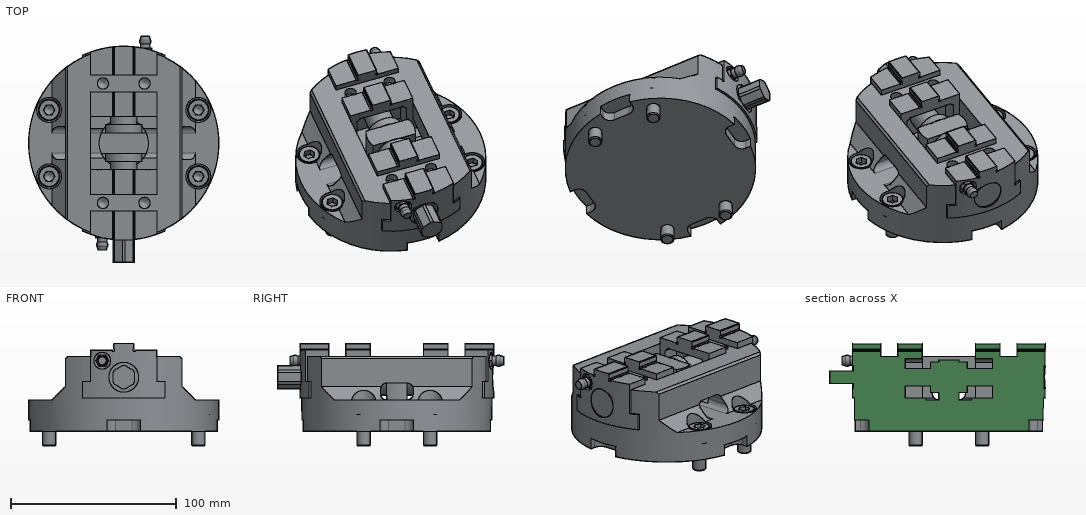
import cadquery as cq
import math

body_radius = 57.4
flange_top = 19.0
block_half_width = 35.2
slope_top = 27.0
slope_run = slope_top - flange_top
body_top = 45.1
block_chamfer = 1.4

key_half_width = 10.1
key_corner_radius = 5.0
key_height = 6.7
key_depth = 9.1

jaw_radius = 58.5
jaw_half_width = 20.0
jaw_foot_half_width = 25.0
guide_floor = 20.2
jaw_foot_top = 30.0
jaw_inner = 16.0
jaw_top = 48.9
saddle_inner = 31.0
saddle_outer = 41.0
rail_half_width = 6.1
rail_top = 53.0
rail_chamfer = 0.4
relief_size = 1.2
relief_centre_x = 6.3

pocket_half_width = 16.0
pocket_top = 43.6
pocket_depth = 10.2
pocket_chamfer = 2.2

saddle_hole_x = 12.5
saddle_hole_y = (saddle_inner + saddle_outer) / 2
saddle_hole_diameter = 6.8
saddle_hole_depth = 5.0
drill_slope = math.tan(math.radians(30))

cross_half_width = 10.0
cross_top = 29.0
cross_corner_radius = 4.0

spindle_z = 32.6
spindle_diameter = 16.0
collar_diameter = 22.0
collar_end = 11.2
holder_diameter = 29.7
holder_half_thickness = 6.1
holder_top = 43.1
hex_flats = 13.0
hex_round_diameter = 14.0
hex_end = 71.8
hex_start = 54.0
recess_diameter = 18.0
recess_floor = 57.5

nipple_x = 13.0
nipple_z = 42.5
nipple_seat_diameter = 10.1
nipple_seat = 54.0
nipple_tip = 64.5
nipple_base_flats = 7.0
nipple_base_height = 3.3
nipple_stem_radius = 3.0
nipple_neck_radius = 2.9
nipple_neck = 5.7
nipple_bulge_radius = 3.4
nipple_bulge = 7.2
nipple_head_radius = 3.3
nipple_head = 8.2
nipple_tip_radius = 2.5

screw_x = 45.0
screw_y = 20.0
counterbore_diameter = 15.0
counterbore_floor = 10.1
head_diameter = 13.0
head_face_diameter = 12.0
head_top = 18.7
socket_flats = 6.0
socket_depth = 4.1
shank_diameter = 8.0
shank_tip_diameter = 6.7
shank_end = -9.0
shank_chamfer_height = 0.7

axis_start = (0, 0, 0)
z_axis = (0, 0, 1)


def block(half_x, y_from, y_to, z_from, z_to):
    """Box centred on X = 0."""
    return (
        cq.Workplane("XY")
        .box(2 * half_x, y_to - y_from, z_to - z_from, centered=(True, False, False))
        .translate((0, y_from, z_from))
    )


def cylinder_z(x, y, diameter, z_from, z_to):
    return cq.Workplane("XY").workplane(offset=z_from).center(x, y).circle(diameter / 2).extrude(z_to - z_from)


def cylinder_y(x, z, diameter, y_from, y_to):
    """Cylinder along Y."""
    rod = cq.Workplane("XZ").center(x, z).circle(diameter / 2).extrude(y_from - y_to)
    return rod.translate((0, y_from, 0))


def hex_corners(flats):
    """Distance across the corners of a hexagon."""
    return flats / math.cos(math.radians(30))


def half_turn(shape):
    return shape.rotate(axis_start, z_axis, 180)


def make_body():
    round_base = cylinder_z(0, 0, 2 * body_radius, 0, body_top)
    shoulder_x = block_half_width + slope_run
    half_profile = [
        (body_radius, 0),
        (body_radius, flange_top),
        (shoulder_x, flange_top),
        (block_half_width, slope_top),
        (block_half_width, body_top - block_chamfer),
        (block_half_width - block_chamfer, body_top),
    ]
    mirrored = [(-x, z) for x, z in reversed(half_profile)]
    envelope = cq.Workplane("XZ").polyline(half_profile + mirrored).close().extrude(body_radius, both=True)
    return round_base.intersect(envelope)


def make_key_slots():
    slot = block(key_half_width, -body_radius, key_depth - body_radius, 0, key_height)
    slot = slot.faces(">Y").edges("|Z").fillet(key_corner_radius)
    slots = slot
    for quarter in (90, 180, 270):
        slots = slots.union(slot.rotate(axis_start, z_axis, quarter))
    return slots


def make_jaws():
    jaw_disc = cylinder_z(0, 0, 2 * jaw_radius, guide_floor, rail_top)
    jaws = block(jaw_foot_half_width, -jaw_radius, jaw_radius, guide_floor, jaw_foot_top)
    jaws = jaws.union(block(jaw_half_width, -jaw_radius, jaw_radius, guide_floor, jaw_top))
    rail = block(rail_half_width, -jaw_radius, jaw_radius, body_top, rail_top)
    jaws = jaws.union(rail.faces(">Z").edges("|Y").chamfer(rail_chamfer))
    for side in (-1, 1):
        relief = block(relief_size / 2, -jaw_radius, jaw_radius, -relief_size / 2, relief_size / 2)
        jaws = jaws.cut(relief.translate((side * relief_centre_x, 0, jaw_top)))
        low, high = sorted((side * saddle_inner, side * saddle_outer))
        jaws = jaws.cut(block(jaw_half_width, low, high, body_top, rail_top))
    return jaws.intersect(jaw_disc)


def make_window():
    """Open stretch of the T-shaped guide between the jaws, with the jaw pockets and holder seat."""
    window = block(jaw_half_width, -jaw_inner, jaw_inner, guide_floor, rail_top)
    window = window.union(block(jaw_foot_half_width, -jaw_inner, jaw_inner, guide_floor, jaw_foot_top))
    pocket_end = jaw_inner + pocket_depth
    pockets = block(pocket_half_width, -pocket_end, pocket_end, guide_floor, pocket_top)
    pockets = pockets.faces(">Z").edges("|Y").chamfer(pocket_chamfer)
    holder_seat = cylinder_z(0, 0, holder_diameter, flange_top, guide_floor)
    return window.union(pockets).union(holder_seat)


def make_cross_slot():
    slot = (
        cq.Workplane("XY")
        .box(2 * body_radius, 2 * cross_half_width, cross_top - flange_top, centered=(True, True, False))
        .translate((0, 0, flange_top))
    )
    return slot.edges("|X").fillet(cross_corner_radius)


def make_saddle_hole(x, y):
    radius = saddle_hole_diameter / 2
    straight_end = body_top - saddle_hole_depth
    outline = [
        (0, body_top),
        (radius, body_top),
        (radius, straight_end),
        (0, straight_end - radius * drill_slope),
    ]
    hole = cq.Workplane("XZ").polyline(outline).close().revolve(360, (0, 0), (0, 1))
    return hole.translate((x, y, 0))


def make_spindle():
    rod_end = jaw_inner + pocket_depth
    spindle = cylinder_y(0, spindle_z, spindle_diameter, -rod_end, rod_end)
    spindle = spindle.union(cylinder_y(0, spindle_z, collar_diameter, -collar_end, collar_end))
    holder = cylinder_z(0, 0, holder_diameter, flange_top, holder_top)
    holder = holder.intersect(
        block(holder_diameter, -holder_half_thickness, holder_half_thickness, flange_top, holder_top)
    )
    spindle = spindle.cut(
        block(holder_diameter, -holder_half_thickness, holder_half_thickness, flange_top, rail_top)
    )
    return spindle.union(holder)


def make_drive_hex():
    length = hex_end - hex_start
    bar = cq.Workplane("XZ").polygon(6, hex_corners(hex_flats)).extrude(length)
    bar = bar.rotate(axis_start, (0, 1, 0), 30).translate((0, -hex_start, spindle_z))
    return bar.intersect(cylinder_y(0, spindle_z, hex_round_diameter, -hex_end, -hex_start))


def make_nipple():
    """Grease nipple pointing along -Y: a turned stem and head on a hexagonal base."""
    length = nipple_tip - nipple_seat
    profile = (
        cq.Workplane("XY")
        .lineTo(nipple_stem_radius, 0)
        .lineTo(nipple_stem_radius, nipple_base_height)
        .lineTo(nipple_neck_radius, nipple_neck)
        .threePointArc((nipple_bulge_radius, nipple_bulge), (nipple_head_radius, nipple_head))
        .lineTo(nipple_tip_radius, length)
        .lineTo(0, length)
        .close()
    )
    turned = profile.revolve(360, (0, 0), (0, 1)).rotate(axis_start, z_axis, 180)
    base = cq.Workplane("XZ").polygon(6, hex_corners(nipple_base_flats)).extrude(nipple_base_height)
    return turned.union(base).translate((-nipple_x, -nipple_seat, nipple_z))


def make_screw():
    head_chamfer = (head_diameter - head_face_diameter) / 2
    shank_radius = shank_diameter / 2
    outline = [
        (0, shank_end),
        (shank_tip_diameter / 2, shank_end),
        (shank_radius, shank_end + shank_chamfer_height),
        (shank_radius, counterbore_floor),
        (head_diameter / 2, counterbore_floor),
        (head_diameter / 2, head_top - head_chamfer),
        (head_face_diameter / 2, head_top),
        (0, head_top),
    ]
    screw = cq.Workplane("XZ").polyline(outline).close().revolve(360, (0, 0), (0, 1))
    socket_floor = head_top - socket_depth
    socket = cq.Workplane("XY").polygon(6, hex_corners(socket_flats)).extrude(socket_depth)
    socket = socket.translate((0, 0, socket_floor))
    cone_radius = socket_flats / 2
    cone_outline = [(0, socket_floor), (cone_radius, socket_floor), (0, socket_floor - cone_radius * drill_slope)]
    cone = cq.Workplane("XZ").polyline(cone_outline).close().revolve(360, (0, 0), (0, 1))
    return screw.cut(socket).cut(cone)


result = make_body().union(make_jaws()).cut(make_window()).cut(make_cross_slot()).cut(make_key_slots())

nipple_hole = cylinder_y(-nipple_x, nipple_z, nipple_seat_diameter, -jaw_radius, -nipple_seat)
end_recess = cylinder_y(0, spindle_z, recess_diameter, -jaw_radius, -recess_floor)
for hole in (nipple_hole, end_recess):
    result = result.cut(hole).cut(half_turn(hole))
for x in (-saddle_hole_x, saddle_hole_x):
    for y in (-saddle_hole_y, saddle_hole_y):
        result = result.cut(make_saddle_hole(x, y))

for x in (-screw_x, screw_x):
    for y in (-screw_y, screw_y):
        result = result.cut(cylinder_z(x, y, counterbore_diameter, counterbore_floor, body_top))
        result = result.union(make_screw().translate((x, y, 0)))

nipple = make_nipple()
for fitting in (make_spindle(), make_drive_hex(), nipple, half_turn(nipple)):
    result = result.union(fitting)